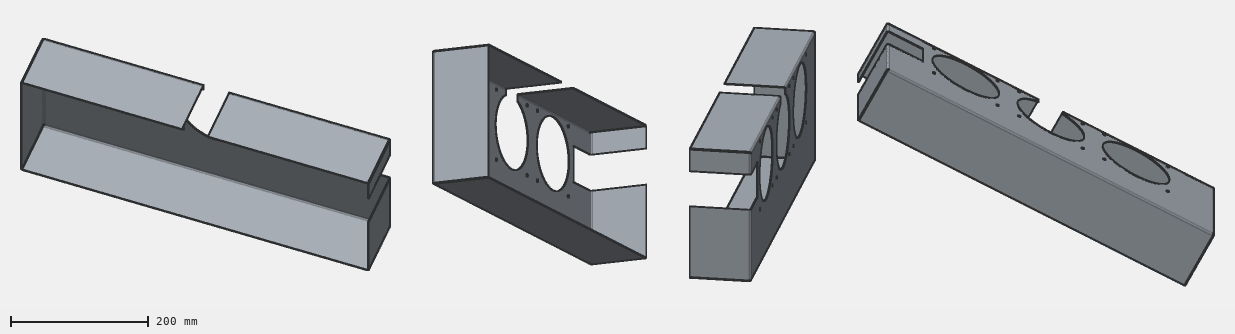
import cadquery as cq

LENGTH = 540.0
DEPTH = 90.0
HEIGHT = 200.0

SHEET = 1.5
INNER_BEND_RADIUS = 1.5
OUTER_BEND_RADIUS = INNER_BEND_RADIUS + SHEET
CORNER_GAP = 0.25
FLANGE_INSET = SHEET + CORNER_GAP

OPENING_RADIUS = 55.0
OPENING_PITCH = 140.5
OPENING_Z = 38.0
SCREW_RADIUS = 2.0
SCREW_SPACING = 105.0

TOP_GAP_WIDTH = 40.0

SIDE_CUT_LENGTH = 59.5
SIDE_CUT_BOTTOM = 11.0
SIDE_CUT_TOP = 65.0

BACK_Y = DEPTH / 2


def u_channel(width, length):
    """Channel open towards -Y, flanges at +X and -X, with rounded bends at the back."""
    outside = (
        cq.Workplane("XY")
        .box(width, DEPTH, length)
        .edges("|Z and >Y")
        .fillet(OUTER_BEND_RADIUS)
    )
    inside = (
        cq.Workplane("XY")
        .box(width - 2 * SHEET, DEPTH, length)
        .edges("|Z and >Y")
        .fillet(INNER_BEND_RADIUS)
        .translate((0, -SHEET, 0))
    )
    return outside.cut(inside)


def flange_pair(width, length):
    """Two facing flanges with their bends, without the flat back between them."""
    flat_back = cq.Workplane("XY").box(width - 2 * OUTER_BEND_RADIUS, 2 * DEPTH, length)
    return u_channel(width, length).cut(flat_back)


def folded_tray():
    """Flat back panel with four separate flanges folded forward."""
    panel = cq.Workplane("XY").box(
        LENGTH - 2 * OUTER_BEND_RADIUS, SHEET, HEIGHT - 2 * OUTER_BEND_RADIUS
    ).translate((0, BACK_Y - SHEET / 2, 0))
    side_flanges = flange_pair(LENGTH, HEIGHT - 2 * FLANGE_INSET)
    top_and_bottom = flange_pair(HEIGHT, LENGTH - 2 * FLANGE_INSET).rotate(
        (0, 0, 0), (0, 1, 0), 90
    )
    return panel.union(side_flanges).union(top_and_bottom)


def back_holes(centres, radius):
    """Cylinders along Y through the back panel."""
    return (
        cq.Workplane("XZ", origin=(0, BACK_Y, 0))
        .pushPoints(centres)
        .circle(radius)
        .extrude(SHEET * 2, both=True)
    )


def rectangular_cut(x_min, x_max, z_min, z_max):
    """Block through the full depth of the tray."""
    return cq.Workplane("XY").box(x_max - x_min, 2 * DEPTH, z_max - z_min).translate(
        ((x_min + x_max) / 2, 0, (z_min + z_max) / 2)
    )


opening_centres = [(side * OPENING_PITCH, OPENING_Z) for side in (-1, 0, 1)]
screw_centres = [
    (x + dx * SCREW_SPACING / 2, z + dz * SCREW_SPACING / 2)
    for x, z in opening_centres
    for dx in (-1, 1)
    for dz in (-1, 1)
]

top_gap = rectangular_cut(-TOP_GAP_WIDTH / 2, TOP_GAP_WIDTH / 2, OPENING_Z, HEIGHT)
side_cut = rectangular_cut(
    LENGTH / 2 - SIDE_CUT_LENGTH, LENGTH, SIDE_CUT_BOTTOM, SIDE_CUT_TOP
)

result = (
    folded_tray()
    .cut(back_holes(opening_centres, OPENING_RADIUS))
    .cut(back_holes(screw_centres, SCREW_RADIUS))
    .cut(top_gap)
    .cut(side_cut)
)